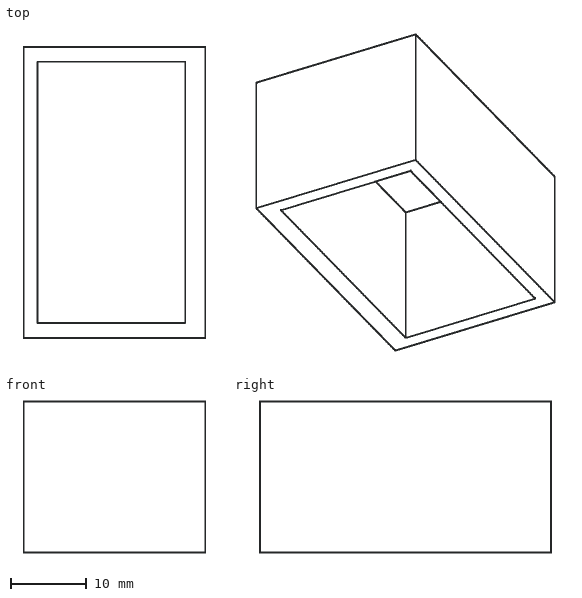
import cadquery as cq

width = 24.0
length = 38.5
height = 20.0

left_wall = 1.85
right_wall = 2.65
end_wall = 2.0

opening_width = width - left_wall - right_wall
opening_length = length - 2 * end_wall
opening_offset_x = (left_wall - right_wall) / 2


def make_block():
    """Outer block, centred in X and Y, standing on Z = 0."""
    return cq.Workplane("XY").rect(width, length).extrude(height)


def make_opening():
    """Rectangular opening that runs through the full height."""
    return (
        cq.Workplane("XY")
        .center(opening_offset_x, 0)
        .rect(opening_width, opening_length)
        .extrude(height)
    )


result = make_block().cut(make_opening())